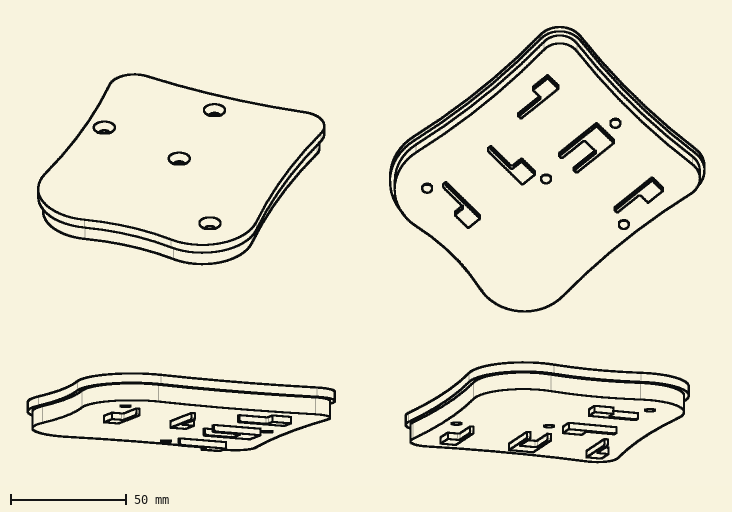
import cadquery as cq
import math

width = 98.9
length = 113.4
half_width = width / 2
half_length = length / 2
rear_corner_radius = 11.1
front_corner_radius = 24.2
side_dip = 2.4
rear_dip = 2.4
front_dip = 2.7
side_waist_y = 8.3

plate_thickness = 4.1
base_thickness = 7.4
guide_height = 2.8
base_inset = 2.0
plate_bottom = guide_height + base_thickness

screw_hole_diameter = 4.3
countersink_diameter = 9.2
countersink_angle = 82.0
screw_points = [(0, 43.3), (0, 3.0), (-39.0, 12.9), (31.1, -38.2)]

channel_inner = 5.6
channel_outer = 30.2
guide_width = 6.9
side_guide_start_x = 5.9
inner_side_guide_width = 7.4
guide_rear_y = 37.4
block_length = 8.6
guide_length = 22.0
tongue_thickness = 1.6
root_fillet = 0.8
tip_rounding = 0.8


def corner_touch(corner_along, corner_depth, radius):
    """Where a concave arc meets a round corner smoothly.

    The waist of the arc is the origin. The corner's centre lies corner_along beside it
    and corner_depth below it. Returns the touch point as (along, outward).
    """
    arc_radius = (corner_along**2 + corner_depth**2 - radius**2) / (2 * (radius - corner_depth))
    share = arc_radius / (arc_radius + radius)
    return corner_along * share, arc_radius - (arc_radius + corner_depth) * share


def plate_outline():
    rear_x = half_width - rear_corner_radius
    rear_y = half_length - rear_corner_radius
    front_x = half_width - front_corner_radius
    front_y = half_length - front_corner_radius
    waist_x = half_width - side_dip
    rear_waist_y = half_length - rear_dip
    front_waist_y = half_length - front_dip

    along, rise = corner_touch(rear_x, rear_waist_y - rear_y, rear_corner_radius)
    rear_touch = (along, rear_waist_y + rise)
    along, rise = corner_touch(front_x, front_waist_y - front_y, front_corner_radius)
    front_touch = (along, -front_waist_y - rise)
    along, rise = corner_touch(rear_y - side_waist_y, waist_x - rear_x, rear_corner_radius)
    side_rear_touch = (waist_x + rise, side_waist_y + along)
    along, rise = corner_touch(front_y + side_waist_y, waist_x - front_x, front_corner_radius)
    side_front_touch = (waist_x + rise, side_waist_y - along)

    diagonal = math.sqrt(0.5)
    rear_corner = (rear_x + rear_corner_radius * diagonal, rear_y + rear_corner_radius * diagonal)
    front_corner = (front_x + front_corner_radius * diagonal, -front_y - front_corner_radius * diagonal)

    def mirrored(point):
        return (-point[0], point[1])

    return (
        cq.Workplane("XY")
        .moveTo(*mirrored(rear_touch))
        .threePointArc((0, rear_waist_y), rear_touch)
        .threePointArc(rear_corner, side_rear_touch)
        .threePointArc((waist_x, side_waist_y), side_front_touch)
        .threePointArc(front_corner, front_touch)
        .threePointArc((0, -front_waist_y), mirrored(front_touch))
        .threePointArc(mirrored(front_corner), mirrored(side_front_touch))
        .threePointArc((-waist_x, side_waist_y), mirrored(side_rear_touch))
        .threePointArc(mirrored(rear_corner), mirrored(rear_touch))
        .close()
    )


def make_plate():
    plate = plate_outline().extrude(plate_thickness).translate((0, 0, plate_bottom))
    return (
        plate.faces(">Z")
        .workplane(origin=(0, 0, 0))
        .pushPoints(screw_points)
        .cskHole(screw_hole_diameter, countersink_diameter, countersink_angle)
    )


def make_guide(guide_block_width, tongue_edges):
    """Block from the origin along +X and -Y, with tongues to -Y at the named edges (0 left, 1 right)."""
    guide = cq.Workplane("XY").box(guide_block_width, block_length, guide_height, centered=False)
    guide = guide.translate((0, -block_length, 0))
    for edge in tongue_edges:
        tongue = cq.Workplane("XY").box(tongue_thickness, guide_length, guide_height, centered=False)
        tongue = tongue.faces("<Y").edges("<Z").fillet(tip_rounding)
        tongue_x = edge * (guide_block_width - tongue_thickness)
        guide = guide.union(tongue.translate((tongue_x, -guide_length, 0)))
    for edge in tongue_edges:
        root_x = tongue_thickness + edge * (guide_block_width - 2 * tongue_thickness)
        root = cq.selectors.NearestToPointSelector((root_x, -block_length, guide_height / 2))
        guide = guide.edges("|Z").edges(root).fillet(root_fillet)
    return guide


def make_rear_guides():
    """Three guides in a row that line two channels running along Y."""
    left = make_guide(guide_width, [1]).translate((-channel_outer - guide_width, guide_rear_y, 0))
    middle = make_guide(2 * channel_inner, [0, 1]).translate((-channel_inner, guide_rear_y, 0))
    right = make_guide(guide_width, [0]).translate((channel_outer, guide_rear_y, 0))
    return [left, middle, right]


def make_side_guides():
    """Two guides that line one channel running along X, with their tongues pointing to +X."""
    quarter_turn = ((0, 0, 0), (0, 0, 1), 90)
    inner = make_guide(inner_side_guide_width, [0]).rotate(*quarter_turn)
    outer = make_guide(guide_width, [1]).rotate(*quarter_turn)
    return [
        inner.translate((side_guide_start_x, -channel_inner, 0)),
        outer.translate((side_guide_start_x, -channel_outer - guide_width, 0)),
    ]


def make_base():
    base = plate_outline().offset2D(-base_inset).extrude(base_thickness)
    base = base.translate((0, 0, guide_height))
    for guide in make_rear_guides() + make_side_guides():
        base = base.union(guide)
    screw_holes = cq.Workplane("XY").pushPoints(screw_points).circle(screw_hole_diameter / 2)
    return base.cut(screw_holes.extrude(plate_bottom))


plate = make_plate()
base = make_base()
result = cq.Compound.makeCompound([plate.val(), base.val()])